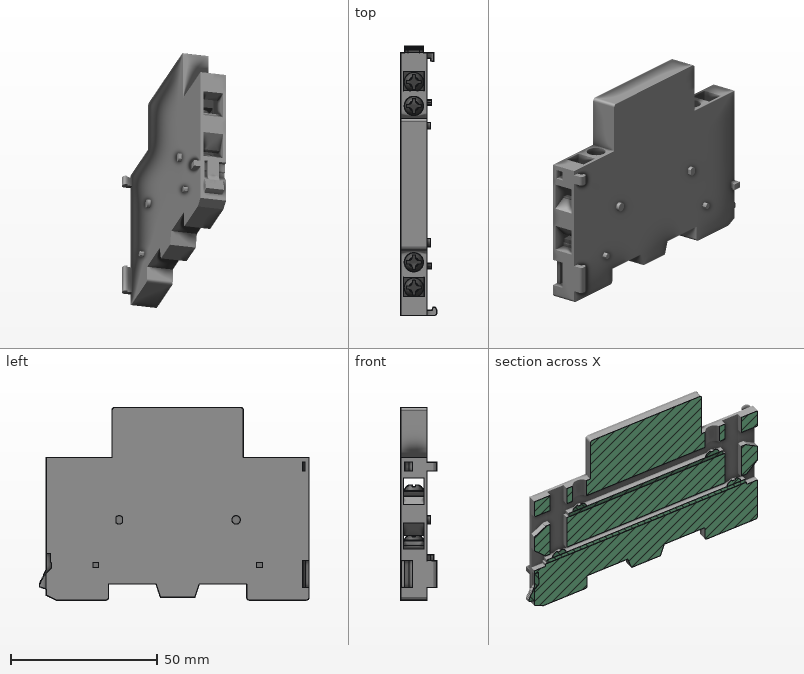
import cadquery as cq
import math


width = 9.1
length = 90.0
height = 66.0
shoulder_height = 48.85
tower_length = 45.0
tower_round = 1.0
rail_slot_length = 47.2
rail_slot_depth = 5.5
rail_lug_top_length = 14.8
rail_lug_bottom_length = 11.8
rail_lug_drop = 4.5
foot_round = 1.0
heel_bevel_length = 3.5
heel_bevel_height = 1.7
end = length / 2
selection_margin = 0.1

channel_side = 1.05
channel_width = 6.95
mouth_depth = 4.4
upper_mouth_floor = 32.85
upper_mouth_sill = 35.45
upper_floor = 35.75
upper_roof = 41.8
lower_mouth_floor = 17.6
lower_floor = 18.7
lower_roof = 22.1
lower_mouth_roof = 26.5

bar_thickness = 1.5
upper_bar_length = 62.4
lower_bar_length = 80.0
screw_x = channel_side + channel_width / 2
upper_screw_ys = (-26.7, 26.8)
lower_screw_ys = (-35.4, 34.95)
head_diameter = 6.6
head_rim = 0.35
head_height = 2.25
head_top_radius = 1.7
head_mid_radius = 2.65
head_mid_height = 1.5
cross_arm_width = 1.05
cross_corner_round = 1.4
cross_depth = 0.65
driver_hole_diameter = 6.45
driver_slot_width = 7.15
driver_slot_length = 6.5
driver_slot_ys = (-35.1, 35.3)

round_pin_y = 20.0
round_pin_z = 27.5
round_pin_diameter = 2.9
flat_pin_width = 2.3
round_pin_length = 1.2
small_pin_y = 28.0
small_pin_z = 12.0
small_pin_sides = 8
small_pin_flats = 1.9
small_pin_length = 1.5
small_hole_length = 1.95
small_hole_height = 1.75
recess_depth = 0.5
hook_reach = 3.31
hook_arm = 1.95
hook_round_x = 2.4
hook_round_mid_x = 3.05
hook_round_mid_y = 0.35
hook_round_y = 1.0
hook_tip_y = 1.8
hook_tip_mid_x = 3.05
hook_tip_mid_y = 2.5
hook_tip_x = 2.6
hook_tip_depth = 2.95
hook_nib_x = 1.95
hook_throat_x = 1.65
pocket_reach = 4.1
pocket_ledge = 2.1
pocket_bevel = 0.25
pocket_undercut_x = 1.35
pocket_depth = 3.6
pocket_slope_x = 2.9
pocket_straight = 1.2
post_size = 1.45
top_hook_bottom = 44.15
top_hook_top = 47.3
low_hook_bottom = 4.3
low_hook_top = 13.6
rear_hook_bottom = 13.55
rear_hook_top = 15.65
rear_hook_reach = 2.3
rear_hook_lip = 1.1
rear_hook_arm = 1.95
rear_hook_drop = 3.05
rear_hook_slant = 0.2

latch_x = 1.35
latch_width = 6.4
neck_width = 3.95
latch_overhang = 2.33
latch_shoulder = 8.65
latch_slope_top = 10.5
latch_nose_top = 5.7
latch_nose_bottom = 4.6
latch_bottom = 3.8
grip_steps = 6
notch_top = 15.95
notch_bulge_top = 12.7
notch_bulge_bottom = 11.1
notch_taper_top = 10.75
notch_wall_bottom = 13.1
notch_bottom = 9.25
notch_depth = 1.55
notch_bulge_depth = 1.85


def box(x0, x1, y0, y1, z0, z1):
    """Box between opposite corners."""
    return cq.Workplane("XY").box(x1 - x0, y1 - y0, z1 - z0, centered=False).translate((x0, y0, z0))


def side_plate(points, x0, x1):
    """Outline of (y, z) points extruded from x0 to x1."""
    return cq.Workplane("YZ", origin=(x0, 0, 0)).polyline(points).close().extrude(x1 - x0)


def at_both_ends(shape):
    """The shape together with its mirror image at the other end of the length."""
    return shape.union(shape.mirror("XZ"))


def housing_block():
    half_tower = tower_length / 2
    half_slot = rail_slot_length / 2
    half_lug_top = rail_lug_top_length / 2
    half_lug_bottom = rail_lug_bottom_length / 2
    lug_bottom = rail_slot_depth - rail_lug_drop
    outline = [
        (-end, 0),
        (-half_slot, 0),
        (-half_slot, rail_slot_depth),
        (-half_lug_top, rail_slot_depth),
        (-half_lug_bottom, lug_bottom),
        (half_lug_bottom, lug_bottom),
        (half_lug_top, rail_slot_depth),
        (half_slot, rail_slot_depth),
        (half_slot, 0),
        (end - heel_bevel_length, 0),
        (end, heel_bevel_height),
        (end, shoulder_height),
        (half_tower, shoulder_height),
        (half_tower, height),
        (-half_tower, height),
        (-half_tower, shoulder_height),
        (-end, shoulder_height),
    ]
    block = side_plate(outline, 0, width)
    block = block.edges("|X and >Z").fillet(tower_round)
    for y in (-end, -half_slot, half_slot):
        corner = cq.selectors.BoxSelector(
            (-selection_margin, y - selection_margin, -selection_margin),
            (width + selection_margin, y + selection_margin, selection_margin),
        )
        block = block.edges(corner).edges("|X").fillet(foot_round)
    return block


def wire_channels():
    """Both channels: sloped mouths at the ends, straight passages between them."""
    inner = end - mouth_depth
    upper_mouth = [
        (-end, upper_mouth_floor),
        (-inner, upper_mouth_sill),
        (-inner, upper_roof),
        (-end, upper_roof),
    ]
    lower_mouth = [
        (-end, lower_mouth_floor),
        (-inner, lower_mouth_floor),
        (-inner, lower_roof),
        (-end, lower_mouth_roof),
    ]
    x0 = channel_side
    x1 = channel_side + channel_width
    cuts = box(x0, x1, -inner, inner, upper_floor, upper_roof)
    cuts = cuts.union(box(x0, x1, -inner, inner, lower_floor, lower_roof))
    for mouth in (upper_mouth, lower_mouth):
        cuts = cuts.union(at_both_ends(side_plate(mouth, x0, x1)))
    return cuts


def driver_openings():
    """Round holes down to the upper screws, square shafts down to the lower ones."""
    cuts = cq.Workplane("XY")
    for y in upper_screw_ys:
        hole = cq.Workplane("XY", origin=(screw_x, y, upper_floor + bar_thickness))
        depth = shoulder_height - upper_floor - bar_thickness
        cuts = cuts.add(hole.circle(driver_hole_diameter / 2).extrude(depth))
    for y in driver_slot_ys:
        shaft = cq.Workplane("XY", origin=(screw_x, y, lower_floor + bar_thickness))
        depth = shoulder_height - lower_floor - bar_thickness
        cuts = cuts.add(shaft.rect(driver_slot_width, driver_slot_length).extrude(depth))
    return cuts.combine()


def coupling_bars(x, bar_length):
    """Round bar at -Y and flat-sided bar at +Y, both running along +X from x."""
    plane = cq.Workplane("YZ", origin=(x, 0, round_pin_z))
    round_bar = plane.center(-round_pin_y, 0).circle(round_pin_diameter / 2).extrude(bar_length)
    flat_bar = plane.center(round_pin_y, 0).circle(round_pin_diameter / 2).extrude(bar_length)
    between_flats = plane.center(round_pin_y, 0).rect(flat_pin_width, round_pin_diameter)
    return round_bar.union(flat_bar.intersect(between_flats.extrude(bar_length)))


def small_pins():
    corner_diameter = small_pin_flats / math.cos(math.pi / small_pin_sides)
    pins = cq.Workplane("YZ", origin=(width, 0, 0))
    pins = pins.pushPoints([(-small_pin_y, small_pin_z), (small_pin_y, small_pin_z)])
    return pins.polygon(small_pin_sides, corner_diameter).extrude(small_pin_length)


def small_holes():
    holes = cq.Workplane("YZ").pushPoints([(-small_pin_y, small_pin_z), (small_pin_y, small_pin_z)])
    return holes.rect(small_hole_length, small_hole_height).extrude(recess_depth)


def front_hook(bottom, top):
    """Arm reaching out of the +X side at the -Y end, its rounded tip bent inwards."""
    return (
        cq.Workplane("XY", origin=(width, -end, bottom))
        .lineTo(hook_round_x, 0)
        .threePointArc((hook_round_mid_x, hook_round_mid_y), (hook_reach, hook_round_y))
        .lineTo(hook_reach, hook_tip_y)
        .threePointArc((hook_tip_mid_x, hook_tip_mid_y), (hook_tip_x, hook_tip_depth))
        .lineTo(hook_nib_x, hook_tip_depth)
        .lineTo(hook_throat_x, hook_arm)
        .lineTo(0, hook_arm)
        .close()
        .extrude(top - bottom)
    )


def front_pocket(bottom, top):
    """Corner recess in the -X side at the -Y end that takes a neighbour's hook."""
    return (
        cq.Workplane("XY", origin=(0, -end, bottom))
        .lineTo(pocket_reach, 0)
        .lineTo(pocket_reach, pocket_straight)
        .lineTo(pocket_slope_x, pocket_depth)
        .lineTo(pocket_undercut_x, pocket_depth)
        .lineTo(pocket_undercut_x, pocket_ledge)
        .lineTo(pocket_bevel, pocket_ledge)
        .lineTo(0, pocket_ledge + pocket_bevel)
        .close()
        .extrude(top - bottom)
    )


def corner_post():
    """Square post left standing on the corner of the upper pocket."""
    return box(0, post_size, -end, -end + post_size, top_hook_bottom, top_hook_top)


def rear_hook():
    lip_inside = rear_hook_reach - rear_hook_lip
    return (
        cq.Workplane("XY", origin=(width, end, rear_hook_bottom))
        .polyline(
            [
                (0, 0),
                (rear_hook_reach, 0),
                (rear_hook_reach, -rear_hook_drop),
                (lip_inside, -rear_hook_drop + rear_hook_slant),
                (lip_inside, -rear_hook_arm),
                (0, -rear_hook_arm),
            ]
        )
        .close()
        .extrude(rear_hook_top - rear_hook_bottom)
    )


notch_outline = [
    (end, notch_top),
    (end - notch_depth, notch_top),
    (end - notch_depth, notch_wall_bottom),
    (end - notch_bulge_depth, notch_bulge_top),
    (end - notch_bulge_depth, notch_bulge_bottom),
    (end - notch_depth, notch_taper_top),
    (end, notch_bottom),
]


def make_housing():
    body = housing_block()
    body = body.cut(wire_channels()).cut(driver_openings())
    body = body.cut(coupling_bars(0, recess_depth)).cut(small_holes())
    body = body.union(coupling_bars(width, round_pin_length)).union(small_pins())
    body = body.cut(front_pocket(low_hook_bottom, low_hook_top))
    body = body.cut(front_pocket(top_hook_bottom, top_hook_top).cut(corner_post()))
    body = body.union(front_hook(low_hook_bottom, low_hook_top))
    body = body.union(front_hook(top_hook_bottom, top_hook_top))
    body = body.cut(side_plate(notch_outline, 0, latch_x + latch_width))
    return body.union(rear_hook())


def make_latch():
    """Neck filling the notch, widening below its shoulder into a stepped thumb grip."""
    slope = latch_overhang / (latch_slope_top - latch_nose_top)
    shoulder_out = slope * (latch_slope_top - latch_shoulder)
    middle = latch_x + latch_width / 2
    neck_outline = notch_outline + [
        (end, latch_shoulder),
        (end + shoulder_out, latch_shoulder),
        (end, latch_slope_top),
    ]
    neck = side_plate(neck_outline, middle - neck_width / 2, middle + neck_width / 2)

    step_out = (latch_overhang - shoulder_out) / grip_steps
    step_down = (latch_shoulder - latch_nose_top) / grip_steps
    grip_outline = [(end, latch_bottom), (end, latch_shoulder)]
    for step in range(grip_steps):
        out = end + shoulder_out + step * step_out
        top = latch_shoulder - step * step_down
        grip_outline.append((out, top))
        grip_outline.append((out, top - step_down))
    grip_outline.append((end + latch_overhang, latch_nose_top))
    grip_outline.append((end + latch_overhang, latch_nose_bottom))
    return neck.union(side_plate(grip_outline, latch_x, latch_x + latch_width))


def make_bar(bar_length, floor):
    half = bar_length / 2
    return box(channel_side, channel_side + channel_width, -half, half, floor, floor + bar_thickness)


def make_screw(y, seat):
    """Domed screw head with a cross recess whose inner corners are rounded."""
    radius = head_diameter / 2
    head = (
        cq.Workplane("XZ")
        .lineTo(radius, 0)
        .lineTo(radius, head_rim)
        .threePointArc((head_mid_radius, head_mid_height), (head_top_radius, head_height))
        .lineTo(0, head_height)
        .close()
        .revolve(360, (0, 0, 0), (0, 1, 0))
    )
    floor = cq.Workplane("XY", origin=(0, 0, head_height - cross_depth))
    cross = floor.rect(head_diameter, cross_arm_width).extrude(head_height)
    cross = cross.union(floor.rect(cross_arm_width, head_diameter).extrude(head_height))
    half_arm = cross_arm_width / 2 + selection_margin
    inner = cq.selectors.BoxSelector((-half_arm, -half_arm, 0), (half_arm, half_arm, 2 * head_height))
    cross = cross.edges("|Z").edges(inner).fillet(cross_corner_round)
    return head.cut(cross).translate((screw_x, y, seat))


housing = make_housing()
latch = make_latch()
upper_bar = make_bar(upper_bar_length, upper_floor)
lower_bar = make_bar(lower_bar_length, lower_floor)
screws = [make_screw(y, upper_floor + bar_thickness) for y in upper_screw_ys]
screws += [make_screw(y, lower_floor + bar_thickness) for y in lower_screw_ys]

result = cq.Compound.makeCompound(
    [housing.val(), latch.val(), upper_bar.val(), lower_bar.val()] + [screw.val() for screw in screws]
)